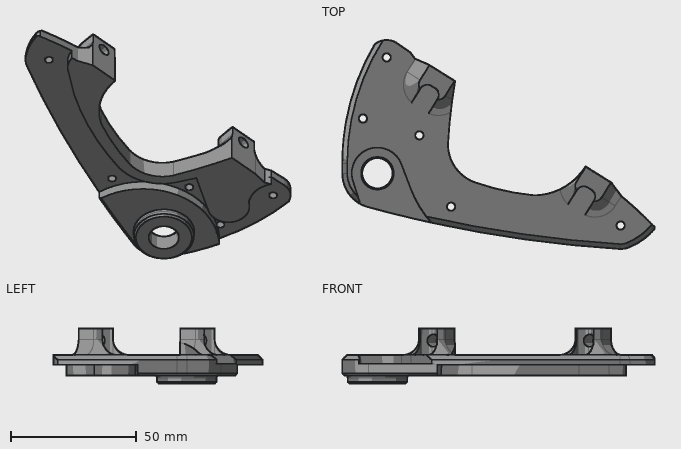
import cadquery as cq
import math

plate_thickness = 4.0
lower_thickness = 4.3
boss_height = 3.2
pedestal_height = 10.5
lower_bottom = -lower_thickness
boss_bottom = lower_bottom - boss_height
plate_chamfer = 2.0
lower_chamfer = 1.0

corner_radius = 14.0
bore_radius = 6.0
bore_chamfer = 0.5
boss_root_radius = 12.15
boss_radius = 11.9
boss_taper_height = 0.8
boss_chamfer = 0.8
pocket_radius = 10.2
pocket_depth = 3.5
pocket_floor = plate_thickness - pocket_depth
pocket_right_angle = 22.0
pocket_left_angle = 200.0
pocket_bend_start = (13.2, -6.0)
pocket_bend_middle = (16.8, -13.4)
pocket_bend_end = (22.0, -20.2)
pocket_left_lip = (-7.05, -11.4)
pocket_left_exit = (-8.2, -13.0)
pocket_outside = (4.0, -34.0)

screw_radius = 1.6
tip_hole = (3.7, 46.05)
screw_holes = [tip_hole, (-5.75, 21.75), (16.7, 15.05), (29.3, -13.3), (96.7, -20.8)]

left_edge_radius = 93.0
left_edge_start_y = 4.0
left_edge_end_y = 46.8
bottom_start_angle = 255.0
bottom_middle = (45.1, -24.25)
bottom_end = (96.3, -30.16)
nose_corner_middle = (98.5, -29.99)
nose_start = (100.4, -29.34)
nose_middle = (106.0, -26.15)
nose_end = (110.0, -22.4)

nose_round_middle = (110.3, -21.8)
nose_round_end = (109.6, -20.8)
nose_back_middle = (103.4, -14.7)
nose_back_end = (97.0, -9.1)
lower_seat_right = (93.0, -3.7)
lower_seat_left = (82.75, 2.7)
scoop_middle = (76.0, -4.4)
scoop_start = (62.3, -8.75)
long_curve_middle = (50.0, -6.8)
inner_corner_center = (44.1, 11.5)
inner_corner_radius = 16.0
inner_corner_end_angle = 250.0
upper_curve_middle = (29.0, 22.5)
upper_seat_right = (30.95, 36.6)
upper_seat_left = (20.4, 43.2)
notch_bottom = (14.9, 45.6)
notch_top = (13.2, 48.0)
tip_radius = 7.0
tip_middle_angle = 115.0

envelope_top_y = 58.0
envelope_right_x = 120.0
envelope_nose_end = (envelope_right_x, -12.0)
edge_margin = 1.5

pedestal_angle = -32.0
pedestal_centers = [(20.4, 31.4), (82.6, -9.0)]
pedestal_width = 11.8
pedestal_corner_radius = 3.3
pedestal_front_offset = -0.3
pedestal_reach = 20.0
pedestal_fillet = 6.2
slab_size = 60.0
slot_width = 8.0
slot_end_offset = 3.4
slot_corner_radius = 3.25
pin_radius = 2.5
pin_height = 5.6

body_center = (-4.9, -10.0)
body_radius = 30.4

rib_upper_end = (13.3, 47.8)
rib_hollow_middle = (11.0, 40.4)
rib_bulge_top = (6.0, 36.7)
rib_bulge_middle = (-2.0, 28.4)
rib_bulge_bottom = (6.3, 20.1)
rib_wall_x = 24.3
rib_corner_start_y = 11.5
rib_corner_middle = (28.5, -1.0)
rib_corner_end = (37.5, -8.0)
rib_arm_middle = (59.0, -13.5)
rib_arm_end = (80.0, -15.0)
rib_cap_start = (92.0, -14.0)
rib_cap_middle = (96.5, -12.8)
rib_lower_end = (98.9, -10.7)
rib_outside = [(102.0, 0.0), (60.0, 55.0), (15.0, 55.0)]


def polar(center, radius, angle):
    """Point at a radius and angle (degrees) from a centre."""
    turn = math.radians(angle)
    return (center[0] + radius * math.cos(turn), center[1] + radius * math.sin(turn))


def left_edge_point(y):
    """Point of the large left edge arc, which leaves the pivot corner vertically."""
    rise = y - left_edge_start_y
    sweep = math.sqrt(left_edge_radius ** 2 - rise ** 2)
    return (-corner_radius + left_edge_radius - sweep, y)


def prism(sketch, bottom, top):
    """Extrude a closed XY outline between two heights."""
    return sketch.extrude(top - bottom).translate((0, 0, bottom))


def turned(profile):
    """Revolve a closed (radius, z) profile about the pivot axis."""
    return cq.Workplane("XZ").polyline(profile).close().revolve(360, (0, 0), (0, 1))


def outer_edge(start_y):
    """Open wire from the left edge, round the pivot corner, to the end of the nose."""
    corner_middle = polar((0, 0), corner_radius, (180 + bottom_start_angle) / 2)
    corner_end = polar((0, 0), corner_radius, bottom_start_angle)
    middle_y = (start_y + left_edge_start_y) / 2
    return (
        cq.Workplane("XY")
        .moveTo(*left_edge_point(start_y))
        .threePointArc(left_edge_point(middle_y), left_edge_point(left_edge_start_y))
        .lineTo(-corner_radius, 0)
        .threePointArc(corner_middle, corner_end)
        .threePointArc(bottom_middle, bottom_end)
        .threePointArc(nose_corner_middle, nose_start)
        .threePointArc(nose_middle, nose_end)
    )


def plate_outline():
    """Complete plate outline with the rounded tip and the inner edge."""
    tip_start = left_edge_point(left_edge_end_y)
    tip_middle = polar(tip_hole, tip_radius, tip_middle_angle)
    tip_end = polar(tip_hole, tip_radius, 90 + pedestal_angle)
    inner_middle_angle = (180 + inner_corner_end_angle) / 2
    inner_start = polar(inner_corner_center, inner_corner_radius, 180)
    inner_middle = polar(inner_corner_center, inner_corner_radius, inner_middle_angle)
    inner_end = polar(inner_corner_center, inner_corner_radius, inner_corner_end_angle)
    return (
        outer_edge(left_edge_end_y)
        .threePointArc(nose_round_middle, nose_round_end)
        .threePointArc(nose_back_middle, nose_back_end)
        .lineTo(*lower_seat_right)
        .lineTo(*lower_seat_left)
        .threePointArc(scoop_middle, scoop_start)
        .threePointArc(long_curve_middle, inner_end)
        .threePointArc(inner_middle, inner_start)
        .threePointArc(upper_curve_middle, upper_seat_right)
        .lineTo(*upper_seat_left)
        .lineTo(*notch_bottom)
        .lineTo(*notch_top)
        .lineTo(*tip_end)
        .threePointArc(tip_middle, tip_start)
        .close()
    )


def chamfered_envelope(bottom, top, face, chamfer):
    """Prism bounded by the outer edge alone, chamfered along that edge on one face."""
    sketch = (
        outer_edge(envelope_top_y)
        .lineTo(*envelope_nose_end)
        .lineTo(envelope_right_x, envelope_top_y)
        .close()
    )
    outer_edges = cq.selectors.BoxSelector(
        (-envelope_right_x, -envelope_right_x, bottom - 1),
        (envelope_right_x - edge_margin, envelope_top_y - edge_margin, top + 1),
    )
    return prism(sketch, bottom, top).faces(face).edges(outer_edges).chamfer(chamfer)


def make_plate():
    envelope = chamfered_envelope(0, plate_thickness, ">Z", plate_chamfer)
    return prism(plate_outline(), 0, plate_thickness).intersect(envelope)


def make_body():
    """Thick lower body round the pivot."""
    disc = cq.Workplane("XY").center(*body_center).circle(body_radius)
    envelope = chamfered_envelope(lower_bottom, 0, "<Z", lower_chamfer)
    return envelope.intersect(prism(disc, lower_bottom, 0))


def make_rib():
    """Rib under the inner edge, widened under the upper pedestal."""
    sketch = (
        cq.Workplane("XY")
        .moveTo(*rib_upper_end)
        .threePointArc(rib_hollow_middle, rib_bulge_top)
        .threePointArc(rib_bulge_middle, rib_bulge_bottom)
        .lineTo(rib_wall_x, rib_bulge_bottom[1])
        .lineTo(rib_wall_x, rib_corner_start_y)
        .threePointArc(rib_corner_middle, rib_corner_end)
        .threePointArc(rib_arm_middle, rib_arm_end)
        .lineTo(*rib_cap_start)
        .threePointArc(rib_cap_middle, rib_lower_end)
    )
    for point in rib_outside:
        sketch = sketch.lineTo(*point)
    return prism(sketch.close(), lower_bottom, 0).intersect(prism(plate_outline(), lower_bottom, 0))


def make_boss():
    """Pivot boss with a tapered root and a chamfered rim."""
    return turned([
        (0, lower_bottom),
        (boss_root_radius, lower_bottom),
        (boss_radius, lower_bottom - boss_taper_height),
        (boss_radius, boss_bottom + boss_chamfer),
        (boss_radius - boss_chamfer, boss_bottom),
        (0, boss_bottom),
    ])


def make_bore():
    """Cutter for the pivot bore with its countersunk mouth in the pocket floor."""
    return turned([
        (0, boss_bottom),
        (bore_radius, boss_bottom),
        (bore_radius, pocket_floor - bore_chamfer),
        (bore_radius + bore_chamfer, pocket_floor),
        (0, pocket_floor),
    ])


def make_pocket():
    """Cutter for the recess round the bore, open to the bottom edge of the plate."""
    sketch = (
        cq.Workplane("XY")
        .moveTo(*polar((0, 0), pocket_radius, pocket_right_angle))
        .threePointArc((0, pocket_radius), polar((0, 0), pocket_radius, pocket_left_angle))
        .lineTo(*pocket_left_lip)
        .lineTo(*pocket_left_exit)
        .lineTo(*pocket_outside)
        .lineTo(*pocket_bend_end)
        .threePointArc(pocket_bend_middle, pocket_bend_start)
        .close()
    )
    return prism(sketch, pocket_floor, plate_thickness)


def flared_block():
    """Pedestal block facing -Y on a floor slab, with a concave fillet round its foot."""
    block = (
        cq.Workplane("XY")
        .box(pedestal_width, pedestal_reach - pedestal_front_offset, pedestal_height,
             centered=(True, False, False))
        .translate((0, pedestal_front_offset, 0))
        .edges("|Z and <Y")
        .fillet(pedestal_corner_radius)
    )
    slab = (
        cq.Workplane("XY")
        .box(slab_size, slab_size, 1, centered=(True, True, False))
        .translate((0, pedestal_reach - slab_size / 2, -1))
    )
    margin = 0.1
    foot_edges = cq.selectors.BoxSelector(
        (-pedestal_width, pedestal_front_offset - margin, -margin),
        (pedestal_width, pedestal_reach - margin, margin),
    )
    return slab.union(block).edges(foot_edges).fillet(pedestal_fillet)


def make_pedestal(center):
    """Slotted pedestal with a cross hole, turned into place and trimmed to the plate outline."""
    slot = (
        cq.Workplane("XY")
        .box(slot_width, slab_size, pedestal_height, centered=(True, False, False))
        .translate((0, slot_end_offset - slab_size, 0))
        .edges("|Z and >Y")
        .fillet(slot_corner_radius)
    )
    pin = cq.Workplane("XZ").center(0, pin_height).circle(pin_radius).extrude(-pedestal_reach)
    pedestal = (
        flared_block()
        .cut(slot)
        .cut(pin)
        .rotate((0, 0, 0), (0, 0, 1), pedestal_angle)
        .translate((center[0], center[1], plate_thickness))
    )
    trim = prism(plate_outline(), plate_thickness, plate_thickness + pedestal_height)
    return pedestal.intersect(trim)


result = make_plate().union(make_body()).union(make_rib()).union(make_boss())
for pedestal_center in pedestal_centers:
    result = result.union(make_pedestal(pedestal_center))
result = result.cut(make_pocket()).cut(make_bore())
screws = cq.Workplane("XY").pushPoints(screw_holes).circle(screw_radius)
result = result.cut(prism(screws, lower_bottom, plate_thickness))